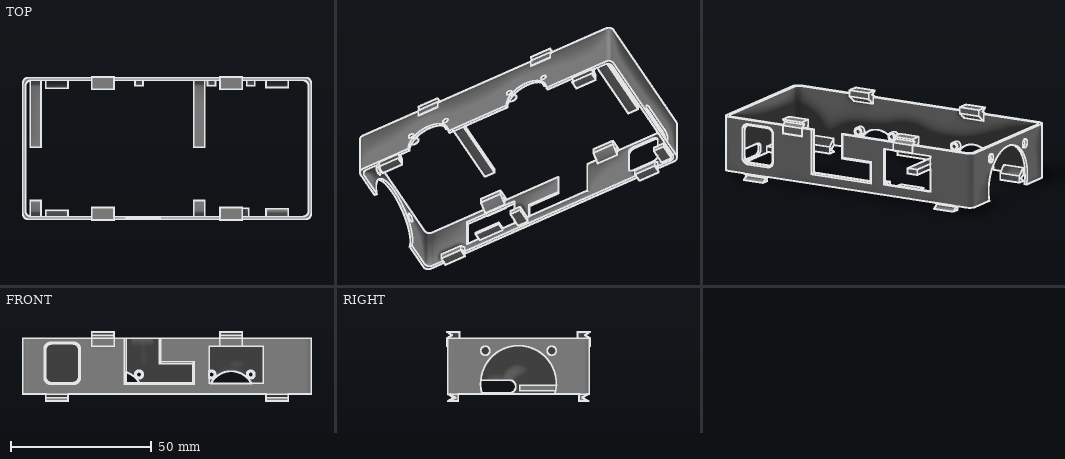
import cadquery as cq

LENGTH = 103.0
DEPTH = 50.6
HEIGHT = 20.0
WALL = 1.0
CORNER_RADIUS = 2.0

CLIP_WIDTH = 8.0
TOP_CLIP_HEIGHT = 2.25
TOP_CLIP_REACH = 4.25
TOP_CLIP_NOTCH = 1.5
TOP_CLIP_NOTCH_RISE = 1.0
TOP_CLIP_SUPPORT = 2.5
LIP_THICKNESS = 0.25
LIP_HEIGHT = 3.0
TOP_CLIP_CENTERS = (28.6, LENGTH - 28.6)
BOTTOM_CLIP_HEIGHT = 2.5
BOTTOM_CLIP_SUPPORT = 2.5
BOTTOM_CLIP_INSET = 12.2
BOTTOM_CLIP_REACH = 3.25
BOTTOM_CLIP_NOTCH = 2.25
BOTTOM_CLIPS = (
    (BOTTOM_CLIP_INSET, False, 0.0),
    (BOTTOM_CLIP_INSET, True, 0.6),
    (LENGTH - BOTTOM_CLIP_INSET, False, 0.6),
    (LENGTH - BOTTOM_CLIP_INSET, True, 0.3),
)

RAIL_WIDTH = 4.0
RAIL_BOTTOM = 1.2
RAIL_TOP = 3.2
RAIL_STARTS = (2.6, 61.0)
FRONT_RAIL_END = 6.8
BACK_RAIL_END = 25.7

LEDGE_LEFT = 71.2
LEDGE_RIGHT = 80.7
LEDGE_REACH = 4.0
LEDGE_BOTTOM = 2.7
LEDGE_TOP = 3.7

FLARE_WIDTH = 0.6
FLARE_DEPTH = 0.35
SILL = 4.1
SCREEN_LEFT = 8.2
SCREEN_RIGHT = 20.0
SCREEN_TOP = 17.9
SCREEN_RADIUS = 2.0
STEP_LEFT = 36.9
STEP_MIDDLE = 48.7
STEP_RIGHT = 60.7
STEP_SHOULDER = 10.9
WINDOW_LEFT = 66.5
WINDOW_RIGHT = 85.8
WINDOW_TOP = HEIGHT - LIP_HEIGHT
WINDOW_SILL = 3.8

ARCH_CENTERS = (34.5, 74.4)
ARCH_RADIUS = 8.15
BOSS_OFFSET = 7.0
BOSS_HEIGHT = 7.0
BOSS_DIAMETER = 3.0
BOSS_HOLE = 2.0
BOSS_LENGTH = 2.0

FAN_CENTER_Z = 3.8
FAN_RADIUS = 13.5
FAN_SCREW_SPACING = 23.7
FAN_SCREW_Z = 15.5
FAN_SCREW_HOLE = 3.2

SLOT_START = 8.3
SLOT_END = 24.3
SLOT_HEIGHT = 4.5
SLOT_CENTER_Z = 2.7


def box(x0, x1, y0, y1, z0, z1):
    """Box between two opposite corners."""
    return cq.Workplane("XY").box(x1 - x0, y1 - y0, z1 - z0, centered=False).translate((x0, y0, z0))


def to_back_wall(body):
    """Mirror a body from the front wall onto the back wall."""
    return body.mirror("XZ", (0, DEPTH / 2, 0))


def wall_ring():
    outer = box(0, LENGTH, 0, DEPTH, 0, HEIGHT).edges("|Z").fillet(CORNER_RADIUS)
    inner = box(WALL, LENGTH - WALL, WALL, DEPTH - WALL, 0, HEIGHT)
    inner = inner.edges("|Z").fillet(CORNER_RADIUS)
    return outer.cut(inner)


def clip_body(profile, x_center):
    """Extrude a (y, z) clip profile along X, centred on x_center."""
    body = cq.Workplane("YZ").polyline(profile).close().extrude(CLIP_WIDTH)
    return body.translate((x_center - CLIP_WIDTH / 2, 0, 0))


def top_clip(x_center):
    top = HEIGHT + TOP_CLIP_HEIGHT
    profile = [
        (-LIP_THICKNESS, HEIGHT - LIP_HEIGHT),
        (-LIP_THICKNESS, HEIGHT),
        (TOP_CLIP_NOTCH, HEIGHT + TOP_CLIP_NOTCH_RISE),
        (-LIP_THICKNESS, top),
        (TOP_CLIP_REACH, top),
        (TOP_CLIP_REACH, HEIGHT),
        (WALL, HEIGHT - TOP_CLIP_SUPPORT),
    ]
    return clip_body(profile, x_center)


def bottom_clip(x_center, shift):
    inner = shift + BOTTOM_CLIP_REACH
    profile = [
        (shift, 0),
        (shift + BOTTOM_CLIP_NOTCH, -BOTTOM_CLIP_HEIGHT / 2),
        (shift, -BOTTOM_CLIP_HEIGHT),
        (inner, -BOTTOM_CLIP_HEIGHT),
        (inner, 0),
        (WALL, BOTTOM_CLIP_SUPPORT),
        (shift, BOTTOM_CLIP_SUPPORT),
    ]
    return clip_body(profile, x_center)


def add_clips(body):
    for x in TOP_CLIP_CENTERS:
        clip = top_clip(x)
        body = body.union(clip).union(to_back_wall(clip))
    for x, on_back, shift in BOTTOM_CLIPS:
        clip = bottom_clip(x, shift)
        if on_back:
            clip = to_back_wall(clip)
        body = body.union(clip)
    return body


def add_rails(body):
    embed = WALL / 2
    for x in RAIL_STARTS:
        x_end = x + RAIL_WIDTH
        front = box(x, x_end, embed, FRONT_RAIL_END, RAIL_BOTTOM, RAIL_TOP)
        back = box(x, x_end, BACK_RAIL_END, DEPTH - embed, RAIL_BOTTOM, RAIL_TOP)
        body = body.union(front).union(back)
    ledge = box(LEDGE_LEFT, LEDGE_RIGHT, embed, LEDGE_REACH, LEDGE_BOTTOM, LEDGE_TOP)
    return body.union(ledge)


def cut_screen_window(body):
    """Rounded window; the XZ normal is -Y, so negative distances go into the wall."""
    width = SCREEN_RIGHT - SCREEN_LEFT
    height = SCREEN_TOP - SILL
    center = (SCREEN_LEFT + width / 2, 0, SILL + height / 2)
    through = cq.Workplane("XZ", origin=center).rect(width, height).extrude(-WALL)
    through = through.edges("|Y").fillet(SCREEN_RADIUS)
    wide = cq.Sketch().rect(width + 2 * FLARE_WIDTH, height + 2 * FLARE_WIDTH)
    wide = wide.vertices().fillet(SCREEN_RADIUS + FLARE_WIDTH)
    narrow = cq.Sketch().rect(width, height).vertices().fillet(SCREEN_RADIUS)
    into_wall = cq.Location(cq.Vector(0, 0, -FLARE_DEPTH))
    flare = cq.Workplane("XZ", origin=center).placeSketch(wide, narrow.moved(into_wall)).loft(ruled=True)
    return body.cut(through).cut(flare)


def stepped_outline(grow):
    top = HEIGHT + TOP_CLIP_HEIGHT
    return [
        (STEP_LEFT - grow, SILL - grow),
        (STEP_RIGHT + grow, SILL - grow),
        (STEP_RIGHT + grow, STEP_SHOULDER + grow),
        (STEP_MIDDLE + grow, STEP_SHOULDER + grow),
        (STEP_MIDDLE + grow, top),
        (STEP_LEFT - grow, top),
    ]


def cut_stepped_opening(body):
    through = cq.Workplane("XZ").polyline(stepped_outline(0)).close().extrude(-WALL)
    flare = (
        cq.Workplane("XZ").polyline(stepped_outline(FLARE_WIDTH)).close()
        .workplane(offset=-FLARE_DEPTH).polyline(stepped_outline(0)).close()
        .loft(ruled=True)
    )
    return body.cut(through).cut(flare)


def cut_window(body):
    return body.cut(box(WINDOW_LEFT, WINDOW_RIGHT, 0, WALL, WINDOW_SILL, WINDOW_TOP))


def rod(x, z, diameter, y0, y1):
    """Cylinder along Y."""
    return cq.Workplane("XZ", origin=(x, y0, z)).circle(diameter / 2).extrude(y0 - y1)


def back_openings(body):
    y_inner = DEPTH - WALL - BOSS_LENGTH
    for arch_x in ARCH_CENTERS:
        body = body.cut(rod(arch_x, 0, 2 * ARCH_RADIUS, DEPTH - WALL, DEPTH))
        for x in (arch_x - BOSS_OFFSET, arch_x + BOSS_OFFSET):
            body = body.union(rod(x, BOSS_HEIGHT, BOSS_DIAMETER, y_inner, DEPTH))
            body = body.cut(rod(x, BOSS_HEIGHT, BOSS_HOLE, y_inner, DEPTH))
    return body


def end_openings(body):
    y_mid = DEPTH / 2
    right = cq.Workplane("YZ", origin=(LENGTH - WALL, 0, 0))
    body = body.cut(right.center(y_mid, FAN_CENTER_Z).circle(FAN_RADIUS).extrude(WALL))
    half = FAN_SCREW_SPACING / 2
    for y in (y_mid - half, y_mid + half):
        body = body.cut(right.center(y, FAN_SCREW_Z).circle(FAN_SCREW_HOLE / 2).extrude(WALL))
    slot = (
        cq.Workplane("YZ", origin=(0, (SLOT_START + SLOT_END) / 2, SLOT_CENTER_Z))
        .slot2D(SLOT_END - SLOT_START, SLOT_HEIGHT).extrude(WALL)
    )
    return body.cut(slot)


body = wall_ring()
body = cut_screen_window(body)
body = cut_stepped_opening(body)
body = cut_window(body)
body = back_openings(body)
body = end_openings(body)
body = add_clips(body)
body = add_rails(body)
result = body